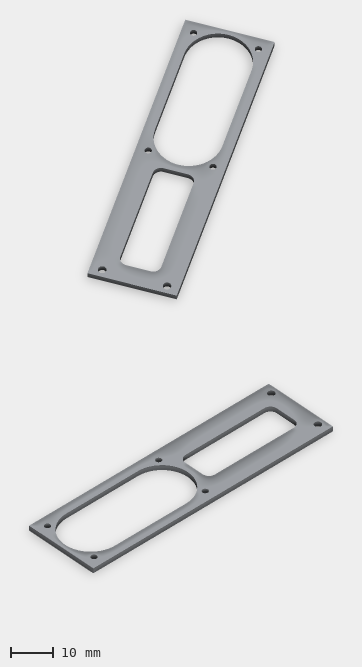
import cadquery as cq

plate_width = 22.0
plate_length = 77.5
plate_thickness = 1.5

slot_width = 16.6
slot_length = 39.7
slot_center_y = 17.7

window_width = 10.1
window_length = 29.6
window_center_y = -19.0
window_corner_radius = 2.0

hole_spacing_x = 16.0
slot_hole_diameter = 1.7
slot_hole_spacing_y = 35.95
end_hole_diameter = 2.0
end_hole_y = -36.7


def opening_blank(width, length, center_y):
    """Block through the full plate thickness, used to cut an opening."""
    return (
        cq.Workplane("XY")
        .center(0, center_y)
        .rect(width, length)
        .extrude(plate_thickness)
    )


def hole_pair(diameter, y):
    """Two cylinders at the same Y, used to cut a pair of through holes."""
    half_spacing = hole_spacing_x / 2
    return (
        cq.Workplane("XY")
        .pushPoints([(-half_spacing, y), (half_spacing, y)])
        .circle(diameter / 2)
        .extrude(plate_thickness)
    )


plate = cq.Workplane("XY").rect(plate_width, plate_length).extrude(plate_thickness)

slot = (
    cq.Workplane("XY")
    .center(0, slot_center_y)
    .slot2D(slot_length, slot_width, angle=90)
    .extrude(plate_thickness)
)

window = opening_blank(window_width, window_length, window_center_y)
window = window.edges("|Z").fillet(window_corner_radius)

result = plate.cut(slot).cut(window)

for side in (-1, 1):
    hole_y = slot_center_y + side * slot_hole_spacing_y / 2
    result = result.cut(hole_pair(slot_hole_diameter, hole_y))

result = result.cut(hole_pair(end_hole_diameter, end_hole_y))